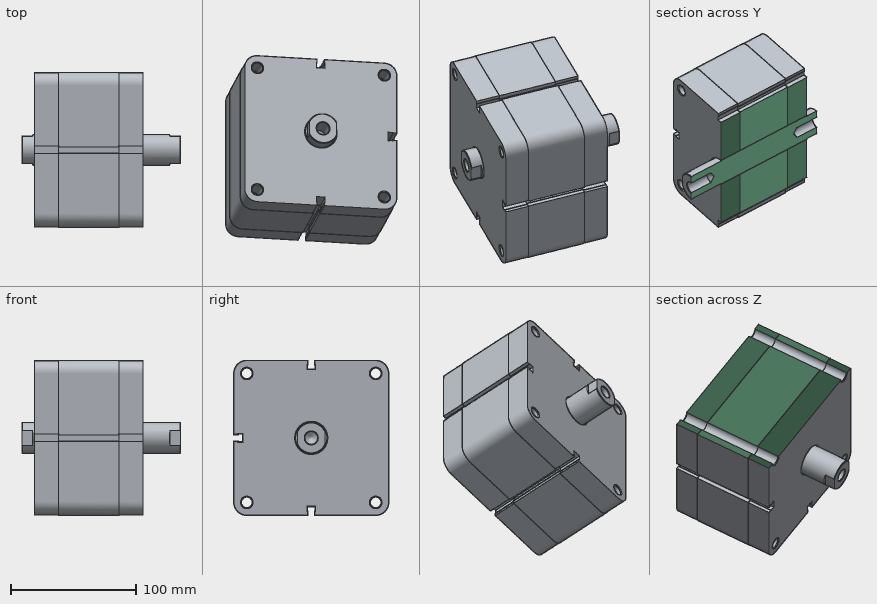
import cadquery as cq
import math


BARREL_LENGTH = 48.0
CAP_LENGTH = 19.5
BARREL_WIDTH = 124.0
CAP_INSET = 0.25
SCREW_OFFSET = 51.5
SCREW_HOLE_DIAMETER = 8.5
MOUTH_CHAMFER = 0.75

SLOT_NECK_WIDTH = 5.0
SLOT_GROOVE_WIDTH = 6.0
SLOT_NECK_DEPTH = 3.75
SLOT_DEPTH = 7.0
CAP_SLOT_CLEARANCE = 0.5
SLOT_ANGLES = (90, 180, 270)

ROD_DIAMETER = 25.0
REAR_PROTRUSION = 10.0
FRONT_PROTRUSION = 30.0
ROD_CHAMFER = 0.5

FLAT_SPACING = 22.0
FLAT_LENGTH = 8.5
SHOULDER_SLOPE = 0.5

ROD_HOLE_DIAMETER = 10.2
ROD_HOLE_DEPTH = 20.0
ROD_HOLE_CHAMFER = 0.5
DRILL_TIP_ANGLE = 118.0

CAP_WIDTH = BARREL_WIDTH - 2 * CAP_INSET
BARREL_END = BARREL_LENGTH / 2
HOUSING_END = BARREL_END + CAP_LENGTH
ROD_REAR = -HOUSING_END - REAR_PROTRUSION
ROD_FRONT = HOUSING_END + FRONT_PROTRUSION
ROD_RADIUS = ROD_DIAMETER / 2


def slot_cutter(start, length, clearance):
    """One stepped slot on the +Y side, open at the barrel face."""
    face = BARREL_WIDTH / 2
    floor = face - SLOT_DEPTH - clearance
    step = face - SLOT_NECK_DEPTH + clearance
    half_neck = SLOT_NECK_WIDTH / 2 + clearance
    half_groove = SLOT_GROOVE_WIDTH / 2 + clearance
    return (
        cq.Workplane("YZ", origin=(start, 0, 0))
        .moveTo(floor, -half_groove)
        .lineTo(step, -half_groove)
        .lineTo(step, -half_neck)
        .lineTo(face, -half_neck)
        .lineTo(face, half_neck)
        .lineTo(step, half_neck)
        .lineTo(step, half_groove)
        .lineTo(floor, half_groove)
        .close()
        .extrude(length)
    )


def housing_block(start, length, width, slot_clearance):
    """Rounded square block with sensor slots, screw holes and the rod bore."""
    plane = cq.Workplane("YZ", origin=(start, 0, 0))
    screw_square = 2 * SCREW_OFFSET
    block = plane.rect(width, width).extrude(length).edges("|X").fillet(width / 2 - SCREW_OFFSET)
    screw_holes = (
        plane.rect(screw_square, screw_square, forConstruction=True)
        .vertices()
        .circle(SCREW_HOLE_DIAMETER / 2)
        .extrude(length)
    )
    bore = plane.circle(ROD_RADIUS).extrude(length)
    block = block.cut(screw_holes).cut(bore)
    slot = slot_cutter(start, length, slot_clearance)
    for angle in SLOT_ANGLES:
        block = block.cut(slot.rotate((0, 0, 0), (1, 0, 0), angle))
    return block


def make_cap(start, outer_face):
    """End cap with chamfered hole rims on its outer face."""
    cap = housing_block(start, CAP_LENGTH, CAP_WIDTH, CAP_SLOT_CLEARANCE)
    for radius_rank in (0, -1):
        rims = cap.faces(outer_face).edges(cq.selectors.RadiusNthSelector(radius_rank))
        cap = rims.chamfer(MOUTH_CHAMFER)
    return cap


def flat_cutter(end, inward):
    """Material beside the +Y wrench flat, ending in a slightly leaning shoulder."""
    half_flat = FLAT_SPACING / 2
    flat_end = end + inward * FLAT_LENGTH
    return (
        cq.Workplane("XY", origin=(0, 0, -ROD_RADIUS))
        .moveTo(end, half_flat)
        .lineTo(flat_end, half_flat)
        .lineTo(flat_end + inward * SHOULDER_SLOPE, ROD_RADIUS)
        .lineTo(end, ROD_RADIUS)
        .close()
        .extrude(ROD_DIAMETER)
    )


def end_hole_cutter(end, inward):
    """Blind drilled hole with a chamfered mouth and a conical tip."""
    radius = ROD_HOLE_DIAMETER / 2
    tip_length = radius / math.tan(math.radians(DRILL_TIP_ANGLE / 2))
    return (
        cq.Workplane("XY")
        .moveTo(end, 0)
        .lineTo(end, radius + ROD_HOLE_CHAMFER)
        .lineTo(end + inward * ROD_HOLE_CHAMFER, radius)
        .lineTo(end + inward * ROD_HOLE_DEPTH, radius)
        .lineTo(end + inward * (ROD_HOLE_DEPTH + tip_length), 0)
        .close()
        .revolve(360, (0, 0, 0), (1, 0, 0))
    )


def make_rod():
    """Through rod with chamfered ends, wrench flats and end holes."""
    rod = (
        cq.Workplane("YZ", origin=(ROD_REAR, 0, 0))
        .circle(ROD_RADIUS)
        .extrude(ROD_FRONT - ROD_REAR)
        .faces("<X or >X")
        .chamfer(ROD_CHAMFER)
    )
    for end, inward in ((ROD_REAR, 1), (ROD_FRONT, -1)):
        flat = flat_cutter(end, inward)
        rod = rod.cut(flat).cut(flat.mirror("XZ"))
        rod = rod.cut(end_hole_cutter(end, inward))
    return rod


barrel = housing_block(-BARREL_END, BARREL_LENGTH, BARREL_WIDTH, 0)
rear_cap = make_cap(-HOUSING_END, "<X")
front_cap = make_cap(BARREL_END, ">X")
rod = make_rod()

bodies = [barrel, rear_cap, front_cap, rod]
result = cq.Compound.makeCompound([body.solids().val() for body in bodies])